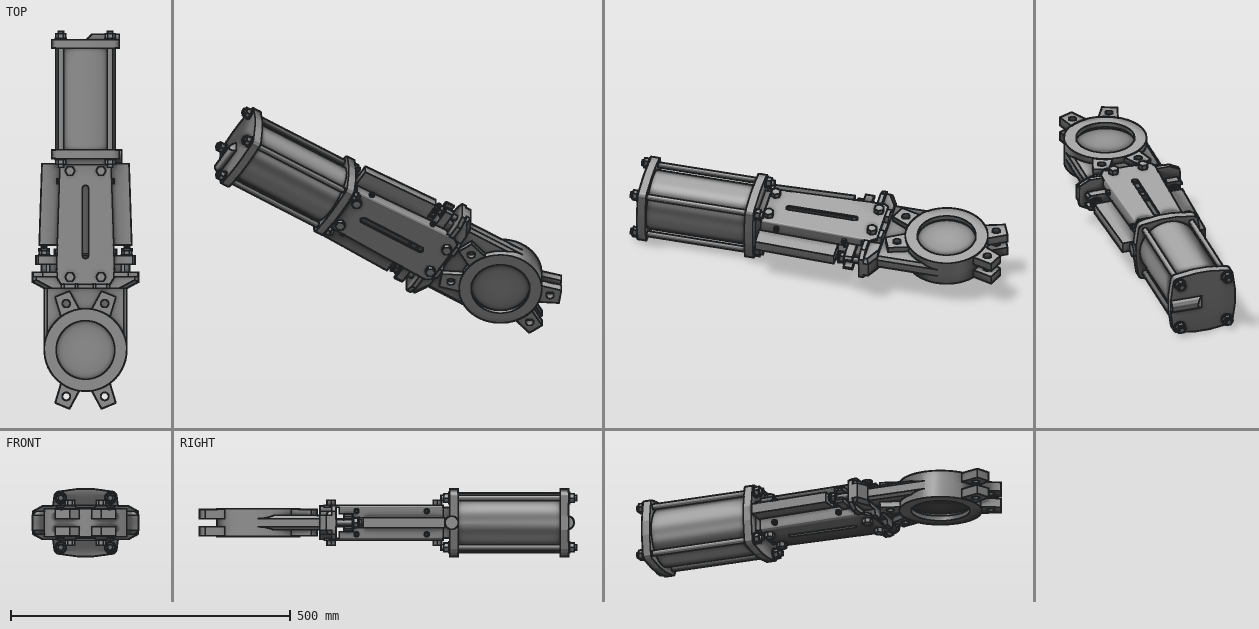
import cadquery as cq
import math


BODY_DIA = 148.0
BODY_HALF_Z = 25.0
BORE_DIA = 105.0
BORE_FLOOR_Z = 10.0
SEAT_GROOVE_DIA = 114.0
SEAT_GROOVE_HEIGHT = 6.0
CHEST_HALF_Z = 13.0
CHEST_CHAMFER = 5.5
CHEST_END_Y = 112.0

LUG_ANGLE = 22.5
LUG_END_RADIUS = 108.5
LUG_ROOT_RADIUS = 65.0
LUG_END_HALF_WIDTH = 14.0
LUG_ROOT_HALF_WIDTH = 18.5
LUG_INNER_Z = 7.0
LUG_OUTER_Z = 23.7
BOLT_CIRCLE_RADIUS = 90.0
LUG_HOLE_DIA = 14.0

HOUSING_HALF_X = 95.0
HOUSING_TOP_Y = 139.5
COLLAR_BOTTOM_Y = 131.3
WING_CORNER_Y = 121.7
WING_BOTTOM_Y = 110.5
WING_BOTTOM_HALF_X = BODY_DIA / 2
WING_FLAT_Z = 13.5
WING_TOP_Z = 20.6
WING_EDGE_INSET = 6.5
COLLAR_HALF_Z = 30.0
COLLAR_FLAT_HALF_X = 76.5
COLLAR_SHOULDER_HALF_X = 94.0
PAD_INNER_X = 13.5
PAD_OUTER_X = 43.0
PAD_SIDE_INSET = 5.0

FOLLOWER_HALF_X = 88.9
FOLLOWER_HALF_Z = 15.0
FOLLOWER_CHAMFER = 4.5
FOLLOWER_NOTCH_WIDTH = 14.0
FOLLOWER_BOTTOM_Y = 153.5
FOLLOWER_TOP_Y = 168.8
NECK_LENGTH = 129.0
NECK_THICKNESS = 14.0
STUD_X = 74.0
STUD_DIA = 10.0
STUD_END_Y = 184.8
STUD_NUT_TOP_Y = 178.0
STUD_CAP_DIA = 19.0
STUD_CAP_HEIGHT = 3.0

YOKE_TOP_Y = 331.4
YOKE_TOP_HALF_X = 45.8
YOKE_SLOPE = 1 / 30
YOKE_SHEET = 4.0
YOKE_HALF_Z = 31.5
YOKE_BEND_RADIUS = 5.0
YOKE_LIP_Z = 9.3
YOKE_LIP_NOTCH_Y = 170.0
YOKE_LIP_NOTCH_Z = 16.0
YOKE_LIP_END_Y = 144.7
YOKE_CORNER_Y = 131.3
YOKE_END_Y = 117.9
YOKE_END_HALF_X = 44.0
SLOT_TOP_Y = 295.0
SLOT_BOTTOM_Y = 163.8
SLOT_WIDTH = 11.0
YOKE_BOLT_X = 27.8
YOKE_BOLT_YS = (130.7, 321.0)
YOKE_BOLT_ACROSS = 15.3
YOKE_BOLT_HEAD_Z = 40.5
SCREW_YS = (176.0, 302.0)
SCREW_Z = 20.8
SCREW_HEAD_DIA = 8.72
SCREW_HEAD_HEIGHT = 5.0
SCREW_SOCKET_DIA = 5.0
SCREW_SOCKET_DEPTH = 2.0

GUARD_TOP_Y = 334.0
GUARD_BOTTOM_Y = 188.0
GUARD_TOP_HALF_X = 78.2

STEM_DIA = 20.0
STEM_END_Y = 172.6
GATE_HALF_X = 40.0
GATE_HALF_Z = 5.0
GATE_TOP_Y = 180.0

HEAD_THICKNESS = 15.4
LOWER_HEAD_Y = 342.9
UPPER_HEAD_Y = 540.7
HEAD_HALF = 60.75
HEAD_FLAT_HALF = 13.3
HEAD_CORNER = 55.0
HEAD_CORNER_RADIUS = 10.0
CYLINDER_DIA = 107.0
TIE_ROD_OFFSET = 44.2
TIE_ROD_DIA = 10.0
TIE_ROD_BOTTOM_Y = 327.0
TIE_ROD_TOP_Y = 570.56
NUT_ACROSS = 16.0
NUT_HEIGHT = 8.5
WASHER_DIA = 20.0
WASHER_THICKNESS = 2.0
SADDLE_HALF_X = 40.0
SADDLE_HALF_Z = 27.5
SADDLE_BOTTOM_Y = 311.0
PORT_RADIUS = 12.0
UPPER_PORT_Y = 554.0
UPPER_PORT_END_X = 60.7
LOWER_PORT_Y = 346.6
LOWER_PORT_END_X = 65.0

SIDES = (-1, 1)
CORNERS = [(sx, sz) for sx in SIDES for sz in SIDES]


def box(x0, x1, y0, y1, z0, z1):
    """Box between two opposite corners, given in any order along each axis."""
    solid = cq.Workplane("XY").box(abs(x1 - x0), abs(y1 - y0), abs(z1 - z0))
    return solid.translate(((x0 + x1) / 2, (y0 + y1) / 2, (z0 + z1) / 2))


def across_y(y):
    """Workplane at height y whose local axes are X and -Z and whose normal is +Y."""
    return cq.Workplane("XZ", origin=(0, y, 0)).transformed(rotate=(180, 0, 0))


def rod_y(x, z, dia, y0, y1):
    """Round rod along Y."""
    return across_y(y0).center(x, z).circle(dia / 2).extrude(y1 - y0)


def hex_y(x, z, across_flats, y0, y1):
    """Hexagon along Y with corners pointing along X."""
    corner_dia = across_flats / math.cos(math.pi / 6)
    return across_y(y0).center(x, z).polygon(6, corner_dia).extrude(y1 - y0)


def mirrored_prism(half_outline, z0, z1):
    """Prism along Z from the right half of an outline, listed from top to bottom."""
    left = [(-x, y) for x, y in reversed(half_outline)]
    return cq.Workplane("XY").workplane(offset=z0).polyline(half_outline + left).close().extrude(z1 - z0)


def both_faces(solid):
    """The solid together with its mirror image in the plane Z = 0."""
    return solid.union(solid.mirror("XY"))


def yoke_half_x(y):
    """Outer half width of the yoke at height y."""
    return YOKE_TOP_HALF_X + YOKE_SLOPE * (YOKE_TOP_Y - y)


def make_lug(turn):
    """One tapered lug in the upper half space, turned about Z from the +Y direction."""
    outline = [
        (LUG_ROOT_HALF_WIDTH, LUG_ROOT_RADIUS),
        (LUG_END_HALF_WIDTH, LUG_END_RADIUS),
        (-LUG_END_HALF_WIDTH, LUG_END_RADIUS),
        (-LUG_ROOT_HALF_WIDTH, LUG_ROOT_RADIUS),
    ]
    lug = cq.Workplane("XY").workplane(offset=LUG_INNER_Z).polyline(outline).close()
    return lug.extrude(LUG_OUTER_Z - LUG_INNER_Z).rotate((0, 0, 0), (0, 0, 1), turn)


def make_lug_hole(turn, floor_z):
    """Drill for one lug, open at the pipe face."""
    drill = cq.Workplane("XY").workplane(offset=floor_z).center(0, BOLT_CIRCLE_RADIUS)
    drill = drill.circle(LUG_HOLE_DIA / 2).extrude(BODY_HALF_Z - floor_z)
    return drill.rotate((0, 0, 0), (0, 0, 1), turn)


def make_valve_body():
    ring = cq.Workplane("XY").workplane(offset=-BODY_HALF_Z).circle(BODY_DIA / 2).extrude(2 * BODY_HALF_Z)
    chest = box(-BODY_DIA / 2, BODY_DIA / 2, 0, CHEST_END_Y, -CHEST_HALF_Z, CHEST_HALF_Z)
    chest = chest.edges("|Y").chamfer(CHEST_CHAMFER)
    body = ring.union(chest)
    upper_turns = (-LUG_ANGLE, LUG_ANGLE)
    lower_turns = (180 - LUG_ANGLE, 180 + LUG_ANGLE)
    for turn in upper_turns + lower_turns:
        body = body.union(both_faces(make_lug(turn)))
    for turn in upper_turns:
        body = body.cut(both_faces(make_lug_hole(turn, CHEST_HALF_Z)))
    for turn in lower_turns:
        body = body.cut(both_faces(make_lug_hole(turn, 0)))
    bore = cq.Workplane("XY").workplane(offset=BORE_FLOOR_Z)
    pocket = bore.circle(BORE_DIA / 2).extrude(BODY_HALF_Z - BORE_FLOOR_Z)
    pocket = pocket.union(bore.circle(SEAT_GROOVE_DIA / 2).extrude(SEAT_GROOVE_HEIGHT))
    return body.cut(both_faces(pocket))


def make_wing_edge():
    """Bevelled layer on the wings, bevelled at the sides and slopes but flush at the bottom."""
    height = WING_TOP_Z - WING_FLAT_Z
    slope = (WING_CORNER_Y - WING_BOTTOM_Y) / (HOUSING_HALF_X - WING_BOTTOM_HALF_X)
    tip_y = WING_CORNER_Y - slope * HOUSING_HALF_X
    outline = [
        (-HOUSING_HALF_X, HOUSING_TOP_Y),
        (HOUSING_HALF_X, HOUSING_TOP_Y),
        (HOUSING_HALF_X, WING_CORNER_Y),
        (0, tip_y),
        (-HOUSING_HALF_X, WING_CORNER_Y),
    ]
    layer = cq.Workplane("XY").workplane(offset=WING_FLAT_Z).polyline(outline).close()
    layer = layer.extrude(height, taper=math.degrees(math.atan(WING_EDGE_INSET / height)))
    return layer.cut(box(-HOUSING_HALF_X, HOUSING_HALF_X, tip_y, WING_BOTTOM_Y, 0, COLLAR_HALF_Z))


def make_gland_housing():
    wing_outline = [
        (HOUSING_HALF_X, HOUSING_TOP_Y),
        (HOUSING_HALF_X, WING_CORNER_Y),
        (WING_BOTTOM_HALF_X, WING_BOTTOM_Y),
    ]
    wings = mirrored_prism(wing_outline, -WING_FLAT_Z, WING_FLAT_Z)
    wings = wings.union(both_faces(make_wing_edge()))

    quarter = [
        (COLLAR_FLAT_HALF_X, COLLAR_HALF_Z),
        (COLLAR_SHOULDER_HALF_X, WING_TOP_Z),
        (HOUSING_HALF_X, WING_FLAT_Z),
    ]
    right = quarter + [(x, -z) for x, z in reversed(quarter)]
    left = [(-x, z) for x, z in reversed(right)]
    collar = across_y(COLLAR_BOTTOM_Y).polyline(right + left).close()
    housing = wings.union(collar.extrude(HOUSING_TOP_Y - COLLAR_BOTTOM_Y))

    for side in SIDES:
        pad_section = [
            (side * PAD_INNER_X, 0),
            (side * PAD_INNER_X, WING_TOP_Z),
            (side * (PAD_INNER_X + PAD_SIDE_INSET), COLLAR_HALF_Z),
            (side * (PAD_OUTER_X - PAD_SIDE_INSET), COLLAR_HALF_Z),
            (side * PAD_OUTER_X, WING_TOP_Z),
            (side * PAD_OUTER_X, 0),
        ]
        pad = across_y(WING_BOTTOM_Y).polyline(pad_section).close()
        housing = housing.union(both_faces(pad.extrude(HOUSING_TOP_Y - WING_BOTTOM_Y)))
    return housing


def make_gland_follower():
    half_x, half_z = FOLLOWER_HALF_X, FOLLOWER_HALF_Z
    follower = box(-half_x, half_x, FOLLOWER_BOTTOM_Y, FOLLOWER_TOP_Y, -half_z, half_z)
    follower = follower.edges("|Y").chamfer(FOLLOWER_CHAMFER)
    notch_half_z = FOLLOWER_NOTCH_WIDTH / 2
    for side in SIDES:
        notch = box(
            side * NECK_LENGTH / 2,
            side * FOLLOWER_HALF_X,
            FOLLOWER_BOTTOM_Y,
            FOLLOWER_TOP_Y,
            -notch_half_z,
            notch_half_z,
        )
        follower = follower.cut(notch)
    neck = across_y(COLLAR_BOTTOM_Y).slot2D(NECK_LENGTH, NECK_THICKNESS)
    follower = follower.union(neck.extrude(FOLLOWER_TOP_Y - COLLAR_BOTTOM_Y))
    for side in SIDES:
        x = side * STUD_X
        washer_top = FOLLOWER_TOP_Y + WASHER_THICKNESS
        follower = follower.union(rod_y(x, 0, STUD_DIA, COLLAR_BOTTOM_Y, STUD_END_Y))
        follower = follower.union(rod_y(x, 0, WASHER_DIA, FOLLOWER_TOP_Y, washer_top))
        follower = follower.union(hex_y(x, 0, NUT_ACROSS, FOLLOWER_TOP_Y, STUD_NUT_TOP_Y))
        cap_top = STUD_NUT_TOP_Y + STUD_CAP_HEIGHT
        follower = follower.union(rod_y(x, 0, STUD_CAP_DIA, STUD_NUT_TOP_Y, cap_top))
    return follower


def make_yoke_channel():
    """The channel on the +Z face, with its bolts and side screws."""
    outline = [(yoke_half_x(YOKE_TOP_Y), YOKE_TOP_Y), (yoke_half_x(YOKE_END_Y), YOKE_END_Y)]
    inside = [(x - YOKE_SHEET, y) for x, y in outline]
    channel = mirrored_prism(outline, YOKE_LIP_Z, YOKE_HALF_Z)
    channel = channel.faces(">Z").edges(">X or <X").fillet(YOKE_BEND_RADIUS)
    channel = channel.cut(mirrored_prism(inside, YOKE_LIP_Z, YOKE_HALF_Z - YOKE_SHEET))

    reach = HOUSING_HALF_X
    plate_inner_z = YOKE_HALF_Z - YOKE_SHEET
    channel = channel.cut(box(-reach, reach, YOKE_END_Y, YOKE_LIP_NOTCH_Y, 0, YOKE_LIP_NOTCH_Z))
    channel = channel.cut(box(-reach, reach, YOKE_END_Y, YOKE_LIP_END_Y, 0, plate_inner_z))
    for side in SIDES:
        corner = [
            (side * yoke_half_x(YOKE_CORNER_Y), YOKE_CORNER_Y),
            (side * YOKE_END_HALF_X, YOKE_END_Y),
            (side * reach, YOKE_END_Y),
            (side * reach, YOKE_CORNER_Y),
        ]
        channel = channel.cut(cq.Workplane("XY").polyline(corner).close().extrude(YOKE_HALF_Z))

    slot_length = SLOT_TOP_Y - SLOT_BOTTOM_Y
    slot = cq.Workplane("XY").center(0, (SLOT_TOP_Y + SLOT_BOTTOM_Y) / 2)
    channel = channel.cut(slot.slot2D(slot_length, SLOT_WIDTH, 90).extrude(YOKE_HALF_Z))

    head_corner_dia = YOKE_BOLT_ACROSS / math.cos(math.pi / 6)
    bolt_spots = [(side * YOKE_BOLT_X, y) for side in SIDES for y in YOKE_BOLT_YS]
    heads = cq.Workplane("XY").workplane(offset=plate_inner_z).pushPoints(bolt_spots)
    channel = channel.union(heads.polygon(6, head_corner_dia).extrude(YOKE_BOLT_HEAD_Z - plate_inner_z))

    for y in SCREW_YS:
        tip_x = yoke_half_x(y) + SCREW_HEAD_HEIGHT
        root_x = yoke_half_x(y) - YOKE_SHEET / 2
        for side in SIDES:
            head = cq.Workplane("YZ", origin=(side * root_x, y, SCREW_Z)).circle(SCREW_HEAD_DIA / 2)
            channel = channel.union(head.extrude(side * (tip_x - root_x)))
            socket = cq.Workplane("YZ", origin=(side * tip_x, y, SCREW_Z)).circle(SCREW_SOCKET_DIA / 2)
            channel = channel.cut(socket.extrude(-side * SCREW_SOCKET_DEPTH))
    return channel


def make_guards():
    guard_bottom_half_x = GUARD_TOP_HALF_X + YOKE_SLOPE * (GUARD_TOP_Y - GUARD_BOTTOM_Y)
    outer = [(GUARD_TOP_HALF_X, GUARD_TOP_Y), (guard_bottom_half_x, GUARD_BOTTOM_Y)]
    inner = [(yoke_half_x(y) - YOKE_SHEET, y) for _, y in outer]
    guards = mirrored_prism(outer, -YOKE_LIP_Z, YOKE_LIP_Z)
    return guards.cut(mirrored_prism(inner, -YOKE_LIP_Z, YOKE_LIP_Z))


def make_stem_and_gate():
    stem = rod_y(0, 0, STEM_DIA, STEM_END_Y, LOWER_HEAD_Y)
    gate = box(-GATE_HALF_X, GATE_HALF_X, HOUSING_TOP_Y, GATE_TOP_Y, -GATE_HALF_Z, GATE_HALF_Z)
    return stem.union(gate)


def make_head(bottom_y):
    """Cylinder head: a square with slightly peaked sides and rounded corners."""
    c = HEAD_CORNER
    quarter = [(-HEAD_FLAT_HALF, HEAD_HALF), (HEAD_FLAT_HALF, HEAD_HALF), (c, c)]
    outline = []
    for _ in range(4):
        outline += quarter
        quarter = [(z, -x) for x, z in quarter]
    head = across_y(bottom_y).polyline(outline).close().extrude(HEAD_THICKNESS)
    reach = HEAD_CORNER_RADIUS / 2
    for sx, sz in CORNERS:
        near = (sx * (c - reach), bottom_y, sz * (c - reach))
        far = (sx * (c + reach), bottom_y + HEAD_THICKNESS, sz * (c + reach))
        head = head.edges(cq.selectors.BoxSelector(near, far)).fillet(HEAD_CORNER_RADIUS)
    return head


def make_port(y, end_x):
    """Air port boss along X, cut off at 45 degrees near the middle of the head."""
    port = cq.Workplane("YZ").circle(PORT_RADIUS).extrude(end_x)
    slanted_cut = cq.Workplane("XY").workplane(offset=-PORT_RADIUS)
    slanted_cut = slanted_cut.polyline([(0, 0), (0, PORT_RADIUS), (PORT_RADIUS, PORT_RADIUS)]).close()
    return port.cut(slanted_cut.extrude(2 * PORT_RADIUS)).translate((0, y, 0))


def make_cylinder():
    lower_top = LOWER_HEAD_Y + HEAD_THICKNESS
    upper_top = UPPER_HEAD_Y + HEAD_THICKNESS
    cylinder = rod_y(0, 0, CYLINDER_DIA, lower_top, UPPER_HEAD_Y)
    cylinder = cylinder.union(make_head(LOWER_HEAD_Y)).union(make_head(UPPER_HEAD_Y))
    for sx, sz in CORNERS:
        x, z = sx * TIE_ROD_OFFSET, sz * TIE_ROD_OFFSET
        cylinder = cylinder.union(rod_y(x, z, TIE_ROD_DIA, TIE_ROD_BOTTOM_Y, TIE_ROD_TOP_Y))
        for seat, outward in ((LOWER_HEAD_Y, -1), (upper_top, 1)):
            washer_end = seat + outward * WASHER_THICKNESS
            nut_end = washer_end + outward * NUT_HEIGHT
            cylinder = cylinder.union(rod_y(x, z, WASHER_DIA, seat, washer_end))
            cylinder = cylinder.union(hex_y(x, z, NUT_ACROSS, washer_end, nut_end))
    saddle = box(-SADDLE_HALF_X, SADDLE_HALF_X, SADDLE_BOTTOM_Y, LOWER_HEAD_Y, -SADDLE_HALF_Z, SADDLE_HALF_Z)
    cylinder = cylinder.union(saddle)
    cylinder = cylinder.union(make_port(UPPER_PORT_Y, UPPER_PORT_END_X))
    return cylinder.union(make_port(LOWER_PORT_Y, LOWER_PORT_END_X))


valve = make_valve_body()
valve = valve.union(make_gland_housing())
valve = valve.union(make_gland_follower())
valve = valve.union(make_stem_and_gate())
valve = valve.union(both_faces(make_yoke_channel()))
valve = valve.union(make_guards())
result = valve.union(make_cylinder())